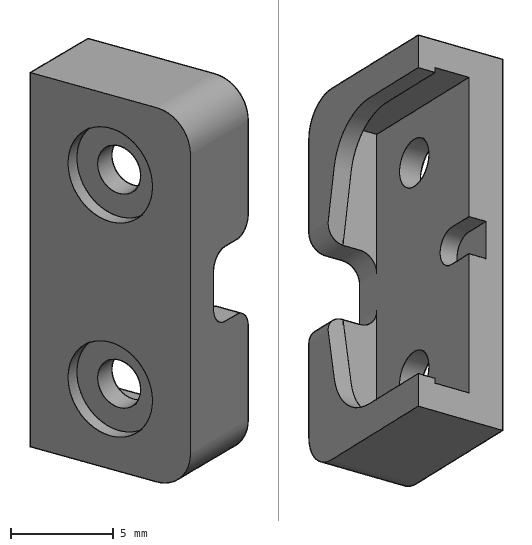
import cadquery as cq
import math

width = 9.5
depth = 5.0
height = 20.0
corner_radius = 2.0

hole_spacing = 11.45
hole_diameter = 2.55
counterbore_diameter = 5.0
counterbore_depth = 0.75

floor_thickness = 2.0
lip_thickness = 1.0
pocket_end_wall = 1.5
pocket_side_wall = 1.5
lip_end_wall = 1.75
lip_corner_radius = 3.12
lip_slope = 10.8
lip_corner_x = 6.8

passage_height = 4.0
passage_radius = 1.0

groove_width = 2.0
groove_depth = 1.0
groove_length = 2.5

lip_y = depth - lip_thickness
middle_z = height / 2


def prism(outline, y_start, y_end):
    """Turn a function that draws an XZ outline into a solid between two Y positions."""
    plane = cq.Workplane("XZ", origin=(0, y_start, 0))
    return outline(plane).extrude(y_start - y_end)


def make_block():
    block = cq.Workplane("XY").box(width, depth, height, centered=False)
    return block.edges(">X and |Y").fillet(corner_radius)


def make_pocket():
    return cq.Workplane("XY").box(
        width - pocket_side_wall, lip_y - floor_thickness, height - 2 * pocket_end_wall, centered=False
    ).translate((0, floor_thickness, pocket_end_wall))


def make_lip_opening():
    """Opening with a shallow V-shaped +X wall and rounded corners at both ends."""
    top_z = height - lip_end_wall
    tip_x = lip_corner_x + (top_z - middle_z) * math.tan(math.radians(lip_slope))
    outline = [
        (0, lip_end_wall),
        (lip_corner_x, lip_end_wall),
        (tip_x, middle_z),
        (lip_corner_x, top_z),
        (0, top_z),
    ]
    opening = prism(lambda plane: plane.polyline(outline).close(), lip_y, depth)
    corners = cq.selectors.BoxSelector(
        (lip_corner_x - 0.2, 0, 0), (lip_corner_x + 0.2, depth, height)
    )
    return opening.edges("|Y").edges(corners).fillet(lip_corner_radius)


def make_passage():
    """Slot along X, rounded at its floor and flared at its mouth."""
    half = passage_height / 2
    r = passage_radius
    diagonal = r * math.sqrt(0.5)
    return (
        cq.Workplane("YZ", origin=(0, 0, middle_z))
        .moveTo(depth, -half - r)
        .threePointArc((depth - r + diagonal, -half - r + diagonal), (depth - r, -half))
        .lineTo(floor_thickness + r, -half)
        .threePointArc((floor_thickness + r - diagonal, -half + r - diagonal), (floor_thickness, -half + r))
        .lineTo(floor_thickness, half - r)
        .threePointArc((floor_thickness + r - diagonal, half - r + diagonal), (floor_thickness + r, half))
        .lineTo(depth - r, half)
        .threePointArc((depth - r + diagonal, half + r - diagonal), (depth, half + r))
        .close()
        .extrude(width)
    )


def make_groove():
    """Groove from the -X face; it is centred on that face so its round end lies inside the floor."""
    return prism(
        lambda plane: plane.center(0, middle_z).slot2D(2 * groove_length, groove_width),
        floor_thickness - groove_depth,
        floor_thickness,
    )


def make_screw_holes():
    centers = [(width / 2, middle_z + side * hole_spacing / 2) for side in (-1, 1)]
    holes = prism(lambda plane: plane.pushPoints(centers).circle(hole_diameter / 2), 0, floor_thickness)
    counterbores = prism(
        lambda plane: plane.pushPoints(centers).circle(counterbore_diameter / 2), 0, counterbore_depth
    )
    return holes.union(counterbores)


result = (
    make_block()
    .cut(make_pocket())
    .cut(make_lip_opening())
    .cut(make_passage())
    .cut(make_groove())
    .cut(make_screw_holes())
)